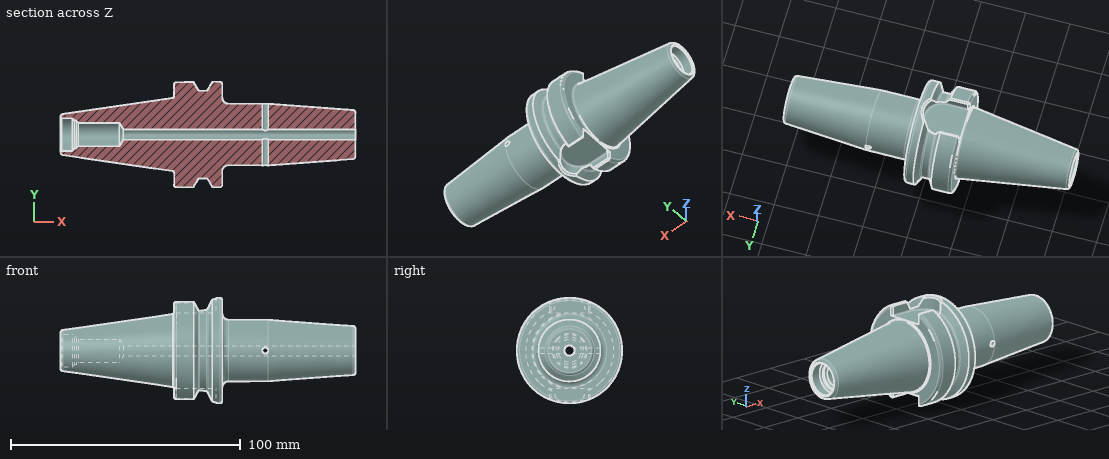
import cadquery as cq
import math


overall_length = 128.4
taper_length = 49.3
taper_ratio = 7 / 24
taper_end_radius = 16.0
taper_tip_radius = taper_end_radius - taper_length * taper_ratio / 2
taper_root_fillet = 0.5
end_fillet = 1.3

flange_radius = 23.0
flange_width = 21.2
flange_edge_fillet = 1.2
groove_radius = 19.1
groove_start = 8.6
groove_floor_width = 3.7
groove_flank_angle = 30.0
groove_fillet = 0.6
flange_start = taper_length
flange_end = flange_start + flange_width

neck_radius = 13.5
neck_fillet = 2.6
nose_taper_start = 90.1
nose_tip_radius = 10.7

slot_half_width = 8.1
slot_floor_height = 16.4
slot_length = 18.4
slot_edge_chamfer = 0.8
slot_floor_fillet = 0.4
slot_overrun = 1.3

through_radius = 2.2
mouth_radius = 7.6
mouth_chamfer = 0.5
counterbore_radius = mouth_radius - mouth_chamfer
counterbore_depth = 5.1
counterbore_floor_depth = 6.0
thread_radius = 6.0
thread_relief_depth = 6.8
thread_lead_angle = 45.0
tap_radius = 5.0
tap_depth = 25.7
drill_tip_angle = 59.0

cross_hole_radius = 1.3
cross_hole_x = 89.1

position_tolerance = 0.06


def revolve_about_x(profile):
    return profile.close().revolve(360, (0, 0, 0), (1, 0, 0))


def circle_edges(body, x, radius):
    """Circular edges around the X axis at one place and radius."""
    circles = [
        edge for edge in body.edges("%CIRCLE").vals()
        if abs(edge.Center().x - x) < position_tolerance
        and abs(edge.radius() - radius) < position_tolerance
    ]
    return body.newObject(circles)


def make_body():
    flank = (flange_radius - groove_radius) * math.tan(math.radians(groove_flank_angle))
    mouth_start = flange_start + groove_start
    floor_start = mouth_start + flank
    floor_end = floor_start + groove_floor_width
    mouth_end = floor_end + flank
    body = revolve_about_x(
        cq.Workplane("XY")
        .lineTo(0, taper_tip_radius)
        .lineTo(flange_start, taper_end_radius)
        .lineTo(flange_start, flange_radius)
        .lineTo(mouth_start, flange_radius)
        .lineTo(floor_start, groove_radius)
        .lineTo(floor_end, groove_radius)
        .lineTo(mouth_end, flange_radius)
        .lineTo(flange_end, flange_radius)
        .lineTo(flange_end, neck_radius)
        .lineTo(nose_taper_start, neck_radius)
        .lineTo(overall_length, nose_tip_radius)
        .lineTo(overall_length, 0)
    )
    for x, radius, fillet in (
        (0, taper_tip_radius, end_fillet),
        (flange_start, flange_radius, flange_edge_fillet),
        (flange_end, flange_radius, flange_edge_fillet),
        (flange_start, taper_end_radius, taper_root_fillet),
        (floor_start, groove_radius, groove_fillet),
        (floor_end, groove_radius, groove_fillet),
        (flange_end, neck_radius, neck_fillet),
        (overall_length, nose_tip_radius, end_fillet),
    ):
        body = circle_edges(body, x, radius).fillet(fillet)
    return body


def make_slot_cutter():
    """Round-ended slot with a filleted floor edge and a flared entry."""
    round_centre = flange_start + slot_length - slot_half_width
    entry = flange_start - slot_overrun
    height = flange_radius - slot_floor_height + slot_overrun
    floor = cq.Workplane("XY", origin=(0, 0, slot_floor_height))
    slot = (
        floor
        .moveTo(entry, -slot_half_width)
        .lineTo(round_centre, -slot_half_width)
        .radiusArc((round_centre, slot_half_width), -slot_half_width)
        .lineTo(entry, slot_half_width)
        .close()
        .extrude(height)
        .edges("<Z").edges("not <X").fillet(slot_floor_fillet)
    )
    flare_half_width = slot_half_width + slot_edge_chamfer
    flare = (
        floor
        .moveTo(flange_start, -flare_half_width)
        .lineTo(flange_start, flare_half_width)
        .lineTo(flange_start + slot_edge_chamfer, slot_half_width)
        .lineTo(flange_start + slot_edge_chamfer, -slot_half_width)
        .close()
        .extrude(height)
    )
    return slot.union(flare)


def make_bores():
    """Stepped bore from the small end, narrowing to a hole right through."""
    cone_length = (tap_radius - through_radius) / math.tan(math.radians(drill_tip_angle))
    thread_lead_in = (thread_radius - tap_radius) / math.tan(math.radians(thread_lead_angle))
    return revolve_about_x(
        cq.Workplane("XY")
        .lineTo(0, mouth_radius)
        .lineTo(mouth_chamfer, counterbore_radius)
        .lineTo(counterbore_depth, counterbore_radius)
        .lineTo(counterbore_floor_depth, thread_radius)
        .lineTo(thread_relief_depth, thread_radius)
        .lineTo(thread_relief_depth + thread_lead_in, tap_radius)
        .lineTo(tap_depth, tap_radius)
        .lineTo(tap_depth + cone_length, through_radius)
        .lineTo(overall_length, through_radius)
        .lineTo(overall_length, 0)
    )


def make_cross_hole():
    return (
        cq.Workplane("XZ")
        .center(cross_hole_x, 0)
        .circle(cross_hole_radius)
        .extrude(flange_radius, both=True)
    )


def slot_rim_edges(body):
    """Edges where the slot walls meet the outer cylinder of the flange."""
    def on_flange_surface(point):
        return abs(math.hypot(point.y, point.z) - flange_radius) < position_tolerance

    rim = [
        edge for edge in body.edges("not %CIRCLE").vals()
        if abs(edge.positionAt(0.5).y) < slot_half_width + position_tolerance
        and all(on_flange_surface(edge.positionAt(part)) for part in (0, 0.5, 1))
    ]
    return body.newObject(rim)


body = make_body()
upper_slot = make_slot_cutter()
body = body.cut(upper_slot).cut(upper_slot.mirror("XY"))
body = slot_rim_edges(body).chamfer(slot_edge_chamfer)
result = body.cut(make_bores()).cut(make_cross_hole())